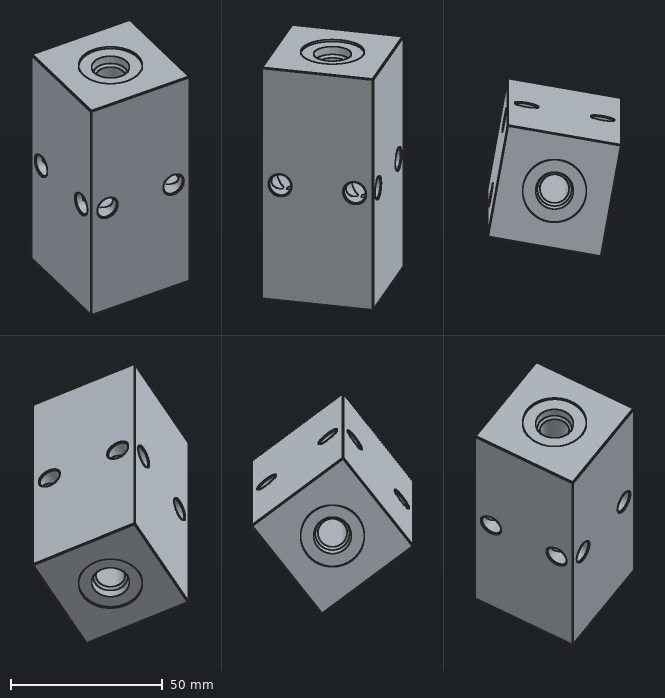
import cadquery as cq
import math

width = 38.1
height = 82.55
edge_break = 0.3

spotface_diameter = 21.0
spotface_depth = 0.75
seat_diameter = 12.4
seat_depth = 2.6
seat_half_angle = 12.0
bore_diameter = 9.6

hole_diameter = 7.3
hole_mouth_diameter = 8.0
hole_spacing = 25.4


def make_block():
    """Square block standing on Z, centred on the origin, with all edges broken."""
    return cq.Workplane("XY").box(width, width, height).edges().chamfer(edge_break)


def make_port():
    """Cutter for one end port and its half of the bore, revolved about Z."""
    spotface_radius = spotface_diameter / 2
    seat_radius = seat_diameter / 2
    bore_radius = bore_diameter / 2
    end = height / 2
    seat_top = end - spotface_depth
    seat_bottom = seat_top - seat_depth
    seat_bottom_radius = seat_radius - seat_depth * math.tan(math.radians(seat_half_angle))
    cone_bottom = seat_bottom - (seat_bottom_radius - bore_radius)
    profile = [
        (0, end),
        (spotface_radius, end),
        (spotface_radius, seat_top),
        (seat_radius, seat_top),
        (seat_bottom_radius, seat_bottom),
        (bore_radius, cone_bottom),
        (bore_radius, 0),
        (0, 0),
    ]
    return cq.Workplane("XZ").polyline(profile).close().revolve(360, (0, 0, 0), (0, 1, 0))


def make_hole_pair():
    """Cutter for two holes along Y, revolved about their axes, at mid height."""
    radius = hole_diameter / 2
    mouth_radius = hole_mouth_diameter / 2
    face = width / 2
    chamfer_end = face - (mouth_radius - radius)
    profile = [
        (0, -face),
        (mouth_radius, -face),
        (radius, -chamfer_end),
        (radius, chamfer_end),
        (mouth_radius, face),
        (0, face),
    ]
    hole = cq.Workplane("XY").polyline(profile).close().revolve(360, (0, 0, 0), (0, 1, 0))
    offset = hole_spacing / 2
    return hole.translate((-offset, 0, 0)).union(hole.translate((offset, 0, 0)))


top_port = make_port()
bottom_port = top_port.mirror("XY")
y_holes = make_hole_pair()
x_holes = y_holes.rotate((0, 0, 0), (0, 0, 1), 90)

result = make_block()
for cutter in (top_port, bottom_port, y_holes, x_holes):
    result = result.cut(cutter)